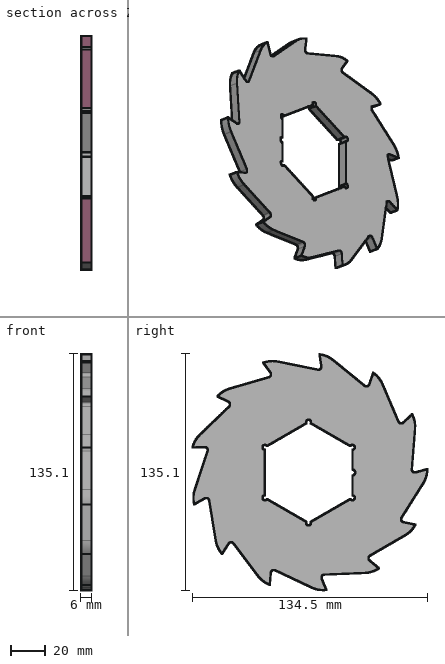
import cadquery as cq
import math

thickness = 6.0

tooth_count = 13
tip_radius = 136.0 / 2
first_tip_angle = 12.1
undercut_angle = 14.0
crown_start_radius = 65.9
crown_span = 7.1
back_angle = 34.0
root_fillet = 1.6

hex_across_flats = 50.0
corner_relief_radius = 1.4
key_notch_radius = 1.6

disc_plane = cq.Plane(origin=(thickness / 2, 0, 0), xDir=(0, -1, 0), normal=(-1, 0, 0))
tooth_pitch = 360 / tooth_count


def polar(radius, angle):
    """Point at a radius and an angle in degrees."""
    return (radius * math.cos(math.radians(angle)), radius * math.sin(math.radians(angle)))


def intersect(point_a, direction_a, point_b, direction_b):
    """Point where two lines cross."""
    cross = direction_a[0] * direction_b[1] - direction_a[1] * direction_b[0]
    gap_x = point_b[0] - point_a[0]
    gap_y = point_b[1] - point_a[1]
    distance = (gap_x * direction_b[1] - gap_y * direction_b[0]) / cross
    return (point_a[0] + distance * direction_a[0], point_a[1] + distance * direction_a[1])


def root_corner(tip_angle):
    """Sharp corner between a tooth's front face and the back of the tooth clockwise of it."""
    next_tip_angle = tip_angle - tooth_pitch
    return intersect(
        polar(tip_radius, tip_angle),
        polar(1, tip_angle + 180 - undercut_angle),
        polar(crown_start_radius, next_tip_angle + crown_span),
        polar(1, next_tip_angle - 90 + back_angle),
    )


def toothed_disc():
    """Disc with raked teeth, rounded crowns and filleted roots."""
    outline = cq.Workplane(disc_plane).moveTo(*polar(tip_radius, first_tip_angle))
    for index in range(tooth_count):
        tip_angle = first_tip_angle - index * tooth_pitch
        next_tip_angle = tip_angle - tooth_pitch
        outline = outline.lineTo(*root_corner(tip_angle))
        outline = outline.lineTo(*polar(crown_start_radius, next_tip_angle + crown_span))
        outline = outline.tangentArcPoint(polar(tip_radius, next_tip_angle), relative=False)
    disc = outline.close().extrude(thickness)

    root_limit = (math.hypot(*root_corner(first_tip_angle)) + crown_start_radius) / 2
    root_edges = disc.edges("|X").filter(
        lambda edge: math.hypot(edge.Center().y, edge.Center().z) < root_limit
    )
    return root_edges.fillet(root_fillet)


def bore():
    """Hexagon with round corner reliefs and one half-round notch in its +Y flat."""
    hex_corner_radius = hex_across_flats / math.sqrt(3)
    corners = [polar(hex_corner_radius, 30 + 60 * index) for index in range(6)]
    hexagon = cq.Workplane(disc_plane).polyline(corners).close().extrude(thickness)
    reliefs = cq.Workplane(disc_plane).pushPoints(corners).circle(corner_relief_radius).extrude(thickness)
    notch = (
        cq.Workplane(disc_plane)
        .center(-hex_across_flats / 2, 0)
        .circle(key_notch_radius)
        .extrude(thickness)
    )
    return hexagon.union(reliefs).union(notch)


result = toothed_disc().cut(bore())